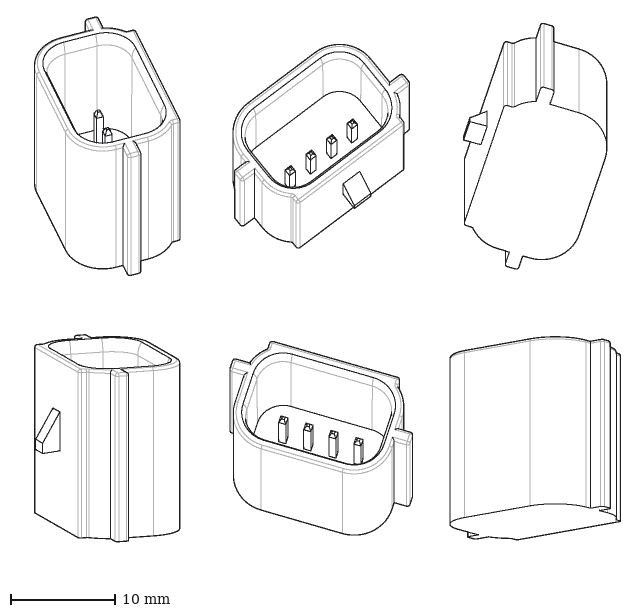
import cadquery as cq
import math

HEIGHT = 16.5
SHELL_X = 15.78
SHELL_Y = 10.9
CORNER_RADIUS = 3.81
EDGE_RADIUS = 0.28

WALL = 1.18
DRAFT_ANGLE = 0.3
MOUTH_FLARE = 0.38
MOUTH_DEPTH = 1.3
FLOOR_THICKNESS = 3.75

PLATE_X = 13.05
PLATE_THICKNESS = 1.7

RAIL_SPAN = 18.79
RAIL_WIDTH = 1.35
LEFT_RAIL_Y = 2.0
RIGHT_RAIL_Y = -0.26

LATCH_WIDTH = 2.01
LATCH_REACH = 1.75
LATCH_RAMP_START = 5.19
LATCH_RAMP_END = 8.14
LATCH_TIP_BOTTOM = 9.15
LATCH_ROOT_BOTTOM = 9.0
LATCH_EMBED = 0.38

PIN_COUNT = 4
PIN_PITCH = 2.52
PIN_WIDTH = 0.71
PIN_TIP_WIDTH = 0.26
PIN_TAPER = 0.56
PIN_LENGTH = 5.64
PIN_Y = 0.75

BACK_Y = SHELL_Y / 2


def rounded_block(size_x, size_y, radius, bottom, height):
    """Block centred on the Z axis with rounded upright corners."""
    block = cq.Workplane("XY").workplane(offset=bottom).rect(size_x, size_y).extrude(height)
    return block.edges("|Z").fillet(radius)


def plate():
    """Flat plate across the back of the shell."""
    block = cq.Workplane("XY").box(PLATE_X, PLATE_THICKNESS, HEIGHT, centered=(True, True, False))
    return block.translate((0, BACK_Y - PLATE_THICKNESS / 2, 0))


def rail(side, center_y):
    """Full-height rail; side is -1 for the -X end and +1 for the +X end."""
    length = RAIL_SPAN / 2 - (SHELL_X / 2 - WALL / 2)
    block = cq.Workplane("XY").box(length, RAIL_WIDTH, HEIGHT, centered=(True, True, False))
    return block.translate((side * (RAIL_SPAN - length) / 2, center_y, 0))


def outer_body():
    """Shell, plate and rails joined, with the top rim and the upright edges rounded."""
    body = rounded_block(SHELL_X, SHELL_Y, CORNER_RADIUS, 0, HEIGHT)
    body = body.union(plate())
    body = body.union(rail(-1, LEFT_RAIL_Y))
    body = body.union(rail(1, RIGHT_RAIL_Y))
    uprights = body.edges("|Z")
    rail_corners = uprights.edges("<X or >X")
    plate_corners = uprights.filter(lambda edge: math.isclose(abs(edge.Center().x), PLATE_X / 2))
    body = rail_corners.add(plate_corners).fillet(EDGE_RADIUS)
    return body.faces(">Z").edges().fillet(EDGE_RADIUS)


def cavity():
    """Pocket that narrows slightly to its floor and whose mouth widens along an arc."""
    size_x = SHELL_X - 2 * WALL
    size_y = SHELL_Y - 2 * WALL
    radius = CORNER_RADIUS - WALL
    mouth_bottom = HEIGHT - MOUTH_DEPTH
    mouth_core = rounded_block(size_x, size_y, radius, mouth_bottom, MOUTH_DEPTH)
    core_wires = mouth_core.faces("<Z").wires()
    lower_depth = mouth_bottom - FLOOR_THICKNESS
    lower = core_wires.toPending().workplane().extrude(lower_depth, combine=False, taper=DRAFT_ANGLE)

    flare_radius = (MOUTH_DEPTH**2 + MOUTH_FLARE**2) / (2 * MOUTH_FLARE)
    half_angle = math.asin(MOUTH_DEPTH / flare_radius) / 2
    wall_x = size_x / 2
    mid_x = wall_x + flare_radius * (1 - math.cos(half_angle))
    mid_z = mouth_bottom + flare_radius * math.sin(half_angle)
    inner_x = wall_x - radius / 2
    profile = (
        cq.Workplane("XZ")
        .moveTo(inner_x, mouth_bottom)
        .lineTo(wall_x, mouth_bottom)
        .threePointArc((mid_x, mid_z), (wall_x + MOUTH_FLARE, HEIGHT))
        .lineTo(inner_x, HEIGHT)
        .close()
    )
    return lower.union(mouth_core).union(profile.sweep(core_wires))


def latch():
    """Ramped catch with its root sunk into the plate."""
    root_y = BACK_Y - LATCH_EMBED
    profile = [
        (root_y, HEIGHT - LATCH_ROOT_BOTTOM),
        (BACK_Y, HEIGHT - LATCH_ROOT_BOTTOM),
        (BACK_Y + LATCH_REACH, HEIGHT - LATCH_TIP_BOTTOM),
        (BACK_Y + LATCH_REACH, HEIGHT - LATCH_RAMP_END),
        (BACK_Y, HEIGHT - LATCH_RAMP_START),
        (root_y, HEIGHT - LATCH_RAMP_START),
    ]
    return cq.Workplane("YZ").polyline(profile).close().extrude(LATCH_WIDTH / 2, both=True)


def pin(center_x):
    """Square pin with a tapered tip."""
    shaft = cq.Workplane("XY").rect(PIN_WIDTH, PIN_WIDTH).extrude(PIN_LENGTH - PIN_TAPER)
    tapered = (
        shaft.faces(">Z")
        .workplane()
        .rect(PIN_WIDTH, PIN_WIDTH)
        .workplane(offset=PIN_TAPER)
        .rect(PIN_TIP_WIDTH, PIN_TIP_WIDTH)
        .loft(combine=True)
    )
    return tapered.translate((center_x, PIN_Y, FLOOR_THICKNESS))


result = outer_body().cut(cavity()).union(latch())
for index in range(PIN_COUNT):
    pin_x = (index - (PIN_COUNT - 1) / 2) * PIN_PITCH
    result = result.union(pin(pin_x))